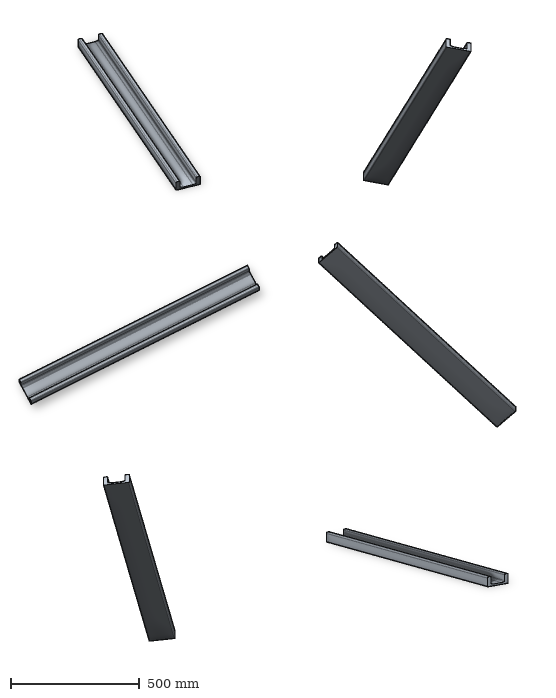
import cadquery as cq

length = 1000.0
width = 103.0
height = 40.0
channel_width = 68.0
floor = 7.5
slope_rise = 3.0
flat_width = 40.0
outer_top_radius = 5.0
outer_bottom_radius = 3.0
inner_top_radius = 4.0
inner_bottom_radius = 3.0

half_width = width / 2
half_channel = channel_width / 2
half_flat = flat_width / 2
shoulder = floor + slope_rise


def channel_body():
    """Extrude the sharp-cornered channel section along X, centred on the origin."""
    outline = [
        (-half_width, 0),
        (half_width, 0),
        (half_width, height),
        (half_channel, height),
        (half_channel, shoulder),
        (half_flat, floor),
        (-half_flat, floor),
        (-half_channel, shoulder),
        (-half_channel, height),
        (-half_width, height),
    ]
    return (
        cq.Workplane("YZ")
        .polyline(outline)
        .close()
        .extrude(length / 2, both=True)
        .translate((0, 0, -height / 2))
    )


def round_edge_pair(body, y, z, radius):
    """Round the two mirrored lengthwise edges at +y and -y, z above the underside."""
    margin = 0.1
    centre_z = z - height / 2
    for side in (-1, 1):
        centre_y = side * y
        edge = cq.selectors.BoxSelector(
            (-margin, centre_y - margin, centre_z - margin),
            (margin, centre_y + margin, centre_z + margin),
        )
        body = body.edges(edge).fillet(radius)
    return body


result = channel_body()
result = round_edge_pair(result, half_width, height, outer_top_radius)
result = round_edge_pair(result, half_width, 0, outer_bottom_radius)
result = round_edge_pair(result, half_channel, height, inner_top_radius)
result = round_edge_pair(result, half_channel, shoulder, inner_bottom_radius)